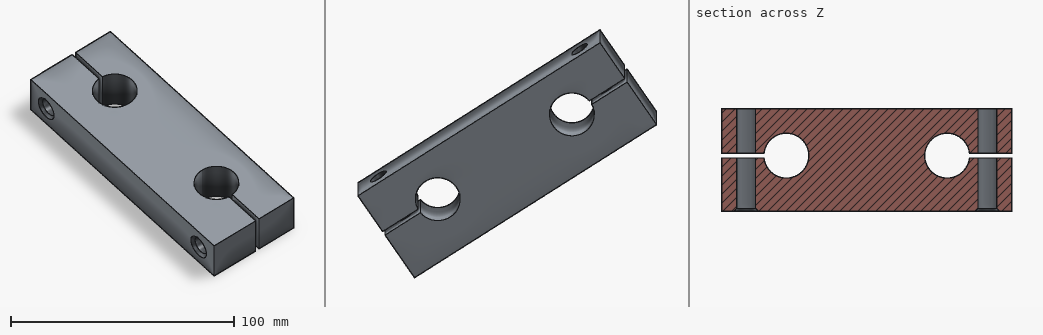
import cadquery as cq

length = 130.0
depth = 46.0
height = 20.0

bore_diameter = 20.0
bore_spacing = 72.0
slit_width = 2.0
clamp_line_y = 2.0

screw_diameter = 8.3
countersink_diameter = 11.0
countersink_angle = 90
screw_spacing = 108.0

bore_centres = [(side * bore_spacing / 2, clamp_line_y) for side in (-1, 1)]
screw_centres = [(side * screw_spacing / 2, 0) for side in (-1, 1)]


def end_slit(side):
    """Slit from a bore centre out to the block end on the given side."""
    slit_length = (length - bore_spacing) / 2
    centre_x = side * (bore_spacing + slit_length) / 2
    return cq.Workplane("XY").box(slit_length, slit_width, height).translate((centre_x, clamp_line_y, 0))


block = cq.Workplane("XY").box(length, depth, height)

bored_block = block.faces(">Z").workplane().pushPoints(bore_centres).hole(bore_diameter)

slit_block = bored_block
for side in (-1, 1):
    slit_block = slit_block.cut(end_slit(side))

result = (
    slit_block.faces("<Y")
    .workplane(centerOption="CenterOfBoundBox")
    .pushPoints(screw_centres)
    .cskHole(screw_diameter, countersink_diameter, countersink_angle)
)